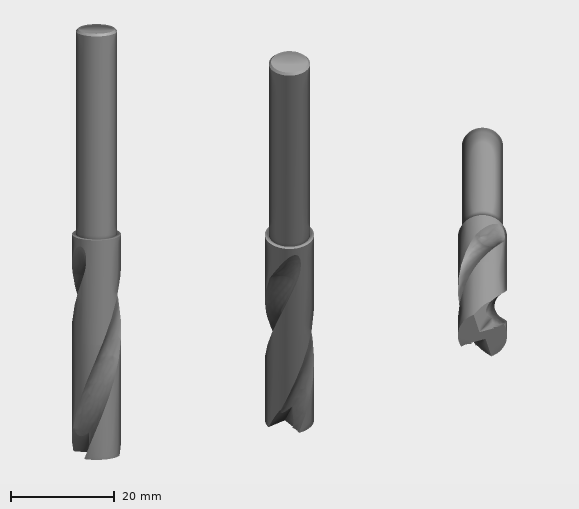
import cadquery as cq
import math

TOTAL_LENGTH = 85.0
TIP_LENGTH = 23.0
BODY_TOP = 43.95
FLUTE_TOP = 35.6
RUNOUT_TOP = 42.4

BODY_DIAMETER = 9.5
SHANK_DIAMETER = 8.0
SHANK_CHAMFER = 0.4
BODY_RADIUS = BODY_DIAMETER / 2

FLUTE_COUNT = 2
FLUTE_SPACING = 360.0 / FLUTE_COUNT
FLUTE_LEAD = 73.95
FLUTE_RADIUS = 3.1
FLUTE_CENTER_RADIUS = 5.35
FLUTE_TOP_ANGLE = -91.0
RUNOUT_ANGLE = -60.0

GASH_HEIGHT = 5.5
GASH_DIRECTION = 53.6
GASH_TIP_OFFSET = -0.3
GASH_WALL_OFFSET = 2.55
GASH_END_DISTANCE = 0.85

Z_AXIS = cq.Vector(0, 0, 1)


def polar_point(radius, angle, height):
    turn = math.radians(angle)
    return cq.Vector(radius * math.cos(turn), radius * math.sin(turn), height)


def flute_helix():
    """Round section twisted about the tool axis, from Z = 0 to the helix top."""
    twist = 360.0 * FLUTE_TOP / FLUTE_LEAD
    start = polar_point(FLUTE_CENTER_RADIUS, FLUTE_TOP_ANGLE - twist, 0)
    section = cq.Workplane("XY").moveTo(start.x, start.y).circle(FLUTE_RADIUS)
    return section.twistExtrude(FLUTE_TOP, twist)


def flute_runout():
    """Straight continuation that slants outward until it leaves the body."""
    start = polar_point(FLUTE_CENTER_RADIUS, FLUTE_TOP_ANGLE, FLUTE_TOP)
    end = polar_point(BODY_RADIUS + FLUTE_RADIUS, RUNOUT_ANGLE, RUNOUT_TOP)
    section = cq.Wire.makeCircle(FLUTE_RADIUS, start, Z_AXIS)
    return cq.Workplane(cq.Solid.extrudeLinear(section, [], end - start))


def end_gash():
    """Triangular prism running inward from the rim and stopping short of the axis."""
    inward = polar_point(1, GASH_DIRECTION, 0)
    sideways = polar_point(1, GASH_DIRECTION - 90, 0)
    inner_end = cq.Plane(origin=inward * -GASH_END_DISTANCE, xDir=sideways, normal=-inward)
    return (
        cq.Workplane(inner_end)
        .moveTo(GASH_TIP_OFFSET, 0)
        .lineTo(GASH_WALL_OFFSET, 0)
        .lineTo(GASH_WALL_OFFSET, GASH_HEIGHT)
        .close()
        .extrude(BODY_RADIUS)
    )


def cut_around(body, cutter):
    """Cut one copy of the cutter for each flute."""
    for index in range(FLUTE_COUNT):
        body = body.cut(cutter.rotate((0, 0, 0), (0, 0, 1), index * FLUTE_SPACING))
    return body


def make_cutting_tip():
    tip = cq.Workplane("XY").circle(BODY_RADIUS).extrude(TIP_LENGTH)
    tip = cut_around(tip, flute_helix())
    return cut_around(tip, end_gash())


def make_shank():
    """Fluted collar above the tip together with the plain clamping shank."""
    collar = cq.Workplane("XY", origin=(0, 0, TIP_LENGTH)).circle(BODY_RADIUS).extrude(BODY_TOP - TIP_LENGTH)
    collar = cut_around(collar, flute_helix())
    collar = cut_around(collar, flute_runout())
    stem = (
        cq.Workplane("XY", origin=(0, 0, BODY_TOP))
        .circle(SHANK_DIAMETER / 2)
        .extrude(TOTAL_LENGTH - BODY_TOP)
        .faces(">Z")
        .chamfer(SHANK_CHAMFER)
    )
    return collar.union(stem)


cutting_tip = make_cutting_tip()
shank = make_shank()

result = cq.Compound.makeCompound([cutting_tip.val(), shank.val()])